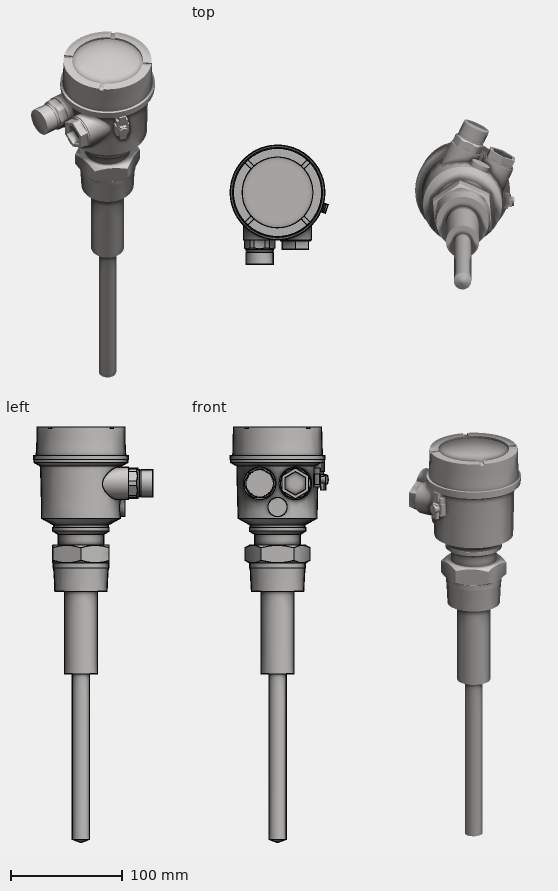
import cadquery as cq
import math

TOTAL_HEIGHT = 372.3

ROD_RADIUS = 8.0
ROD_TIP_HEIGHT = 3.0
TUBE_RADIUS = 15.0
TUBE_BOTTOM_Z = 151.0
THREAD_BOTTOM_Z = 225.0
THREAD_TOP_Z = 245.7
THREAD_BOTTOM_RADIUS = 23.5
THREAD_TOP_RADIUS = 24.5
THREAD_COLLAR_RADIUS = 25.0

HEX_BOTTOM_Z = 250.0
HEX_TOP_Z = 266.5
HEX_ACROSS_FLATS = 50.5
HEX_BEVEL_RADIUS = 24.5
HEX_BEVEL_HEIGHT = 2.5
NECK_RADIUS = 20.5

RING_BEVEL_BOTTOM_Z = 276.0
RING_BOTTOM_Z = 279.0
RING_STEP_Z = 282.2
RING_TOP_Z = 284.5
RING_RADIUS = 25.5
RING_UPPER_RADIUS = 24.5
BODY_BOTTOM_Z = 290.5
BODY_TOP_Z = 337.3
BODY_BOTTOM_RADIUS = 35.5
BODY_TOP_RADIUS = 36.5
RIM_BOTTOM_Z = 340.3
RIM_RADIUS = 42.0

LID_BOTTOM_Z = 343.0
LID_RIM_TOP_Z = 346.5
LID_RIM_RADIUS = 42.5
LID_BOTTOM_RADIUS = 40.2
LID_TOP_RADIUS = 39.5
LID_RECESS_RADIUS = 31.5
LID_RECESS_DEPTH = 2.2
LID_SLOT_WIDTH = 3.7
LID_SLOT_DEPTH = 1.5

ENTRY_X = 16.0
ENTRY_Z = 321.5
ENTRY_BOSS_RADIUS = 14.5
ENTRY_BOSS_FACE = 42.5

GLAND_NUT_ACROSS_FLATS = 25.7
GLAND_NUT_CORNER_RADIUS = 13.8
GLAND_NUT_FACE = 51.0
GLAND_NUT_BEVEL = 1.5
GLAND_RADIUS = 12.3
GLAND_GROOVE_RADIUS = 11.5
GLAND_GROOVE_START = 52.5
GLAND_GROOVE_WIDTH = 1.0
GLAND_FACE = 64.5

PLUG_WASHER_RADIUS = 13.5
PLUG_WASHER_THICKNESS = 1.0
PLUG_ACROSS_FLATS = 24.0
PLUG_RECESS_ACROSS_FLATS = 18.2
PLUG_RECESS_DEPTH = 7.5
PLUG_FACE = 51.0

PAD_RADIUS = 8.5
PAD_Z = 300.5
PAD_FACE = 39.5

CLAMP_ANGLE = -18.5
CLAMP_INNER_RADIUS = 31.5
CLAMP_BASE_RADIUS = 41.7
CLAMP_BASE_WIDTH = 10.5
CLAMP_BASE_BOTTOM_Z = 318.5
CLAMP_BASE_TOP_Z = 335.5
CLAMP_JAW_INNER_RADIUS = 37.0
CLAMP_JAW_WIDTH = 12.5
CLAMP_JAW_BOTTOM_Z = 320.5
CLAMP_JAW_TOP_Z = 330.0
CLAMP_LIP_RADIUS = 43.2
CLAMP_LIP_WIDTH = 6.0
CLAMP_LIP_BOTTOM_Z = 332.5
CLAMP_PLATE_RADIUS = 44.5
CLAMP_PLATE_WIDTH = 6.0
CLAMP_PLATE_BOTTOM_Z = 315.7
CLAMP_PLATE_TOP_Z = 329.5
CLAMP_SCREW_RADIUS = 4.0
CLAMP_SCREW_Z = 325.0
CLAMP_SCREW_END_RADIUS = 46.5


def across_corners(across_flats):
    return across_flats / math.cos(math.pi / 6)


def revolved(profile):
    """Turn an (r, z) profile about Z, closing it along the axis."""
    return cq.Workplane("XZ").polyline(profile).close().revolve(360, (0, 0), (0, 1))


def facing_front(x, z, start, end):
    """Workplane at depth `start`, and the extrusion length that reaches depth `end` toward -Y."""
    plane = cq.Workplane("XZ", origin=(x, -start, z))
    return plane, end - start


def front_cylinder(x, z, radius, start, end):
    plane, length = facing_front(x, z, start, end)
    return plane.circle(radius).extrude(length)


def front_hexagon(x, z, across_flats, start, end, turn=0):
    """Hexagonal prism along -Y; its corners point along X unless turned."""
    plane, length = facing_front(x, z, start, end)
    prism = plane.polygon(6, across_corners(across_flats)).extrude(length)
    return prism.rotate((x, 0, z), (x, 1, z), turn)


def make_turned_body():
    return revolved([
        (0, 0),
        (ROD_RADIUS, ROD_TIP_HEIGHT),
        (ROD_RADIUS, TUBE_BOTTOM_Z),
        (TUBE_RADIUS, TUBE_BOTTOM_Z),
        (TUBE_RADIUS, THREAD_BOTTOM_Z),
        (THREAD_BOTTOM_RADIUS, THREAD_BOTTOM_Z),
        (THREAD_TOP_RADIUS, THREAD_TOP_Z),
        (THREAD_COLLAR_RADIUS, THREAD_TOP_Z),
        (THREAD_COLLAR_RADIUS, HEX_BOTTOM_Z),
        (NECK_RADIUS, HEX_BOTTOM_Z),
        (NECK_RADIUS, RING_BEVEL_BOTTOM_Z),
        (RING_RADIUS, RING_BOTTOM_Z),
        (RING_RADIUS, RING_STEP_Z),
        (RING_UPPER_RADIUS, RING_STEP_Z),
        (RING_UPPER_RADIUS, RING_TOP_Z),
        (BODY_BOTTOM_RADIUS, BODY_BOTTOM_Z),
        (BODY_TOP_RADIUS, BODY_TOP_Z),
        (RIM_RADIUS, RIM_BOTTOM_Z),
        (RIM_RADIUS, LID_BOTTOM_Z),
        (LID_RIM_RADIUS, LID_BOTTOM_Z),
        (LID_RIM_RADIUS, LID_RIM_TOP_Z),
        (LID_BOTTOM_RADIUS, LID_RIM_TOP_Z),
        (LID_TOP_RADIUS, TOTAL_HEIGHT),
        (0, TOTAL_HEIGHT),
    ])


def make_main_hexagon():
    """Hexagon with corners along X, its corners bevelled at both ends."""
    corner_diameter = across_corners(HEX_ACROSS_FLATS)
    corner_radius = corner_diameter / 2
    prism = (
        cq.Workplane("XY", origin=(0, 0, HEX_BOTTOM_Z))
        .polygon(6, corner_diameter)
        .extrude(HEX_TOP_Z - HEX_BOTTOM_Z)
    )
    bevel_limit = revolved([
        (0, HEX_BOTTOM_Z),
        (HEX_BEVEL_RADIUS, HEX_BOTTOM_Z),
        (corner_radius, HEX_BOTTOM_Z + HEX_BEVEL_HEIGHT),
        (corner_radius, HEX_TOP_Z - HEX_BEVEL_HEIGHT),
        (HEX_BEVEL_RADIUS, HEX_TOP_Z),
        (0, HEX_TOP_Z),
    ])
    return prism.intersect(bevel_limit)


def cut_lid_top(body):
    """Round recess in the lid and four slots through its border on the diagonals."""
    recess = (
        cq.Workplane("XY", origin=(0, 0, TOTAL_HEIGHT - LID_RECESS_DEPTH))
        .circle(LID_RECESS_RADIUS)
        .extrude(LID_RECESS_DEPTH)
    )
    body = body.cut(recess)
    for angle in (45, 135):
        slot = (
            cq.Workplane("XY", origin=(0, 0, TOTAL_HEIGHT - LID_SLOT_DEPTH))
            .rect(2 * LID_RIM_RADIUS, LID_SLOT_WIDTH)
            .extrude(LID_SLOT_DEPTH)
            .rotate((0, 0, 0), (0, 0, 1), angle)
        )
        body = body.cut(slot)
    return body


def make_gland():
    x = -ENTRY_X
    nut_limit = (
        front_cylinder(x, ENTRY_Z, GLAND_NUT_CORNER_RADIUS, ENTRY_BOSS_FACE, GLAND_NUT_FACE)
        .faces("<Y")
        .chamfer(GLAND_NUT_BEVEL)
    )
    nut = front_hexagon(x, ENTRY_Z, GLAND_NUT_ACROSS_FLATS, ENTRY_BOSS_FACE, GLAND_NUT_FACE)
    groove_end = GLAND_GROOVE_START + GLAND_GROOVE_WIDTH
    neck = front_cylinder(x, ENTRY_Z, GLAND_RADIUS, GLAND_NUT_FACE, GLAND_GROOVE_START)
    groove = front_cylinder(x, ENTRY_Z, GLAND_GROOVE_RADIUS, GLAND_GROOVE_START, groove_end)
    cap = front_cylinder(x, ENTRY_Z, GLAND_RADIUS, groove_end, GLAND_FACE)
    return nut.intersect(nut_limit).union(neck).union(groove).union(cap)


def make_plug():
    """Washer and hexagon head with a hexagonal recess, corners up and down."""
    washer_face = ENTRY_BOSS_FACE + PLUG_WASHER_THICKNESS
    washer = front_cylinder(ENTRY_X, ENTRY_Z, PLUG_WASHER_RADIUS, ENTRY_BOSS_FACE, washer_face)
    head = front_hexagon(ENTRY_X, ENTRY_Z, PLUG_ACROSS_FLATS, washer_face, PLUG_FACE, turn=30)
    recess_floor = PLUG_FACE - PLUG_RECESS_DEPTH
    recess = front_hexagon(
        ENTRY_X, ENTRY_Z, PLUG_RECESS_ACROSS_FLATS, recess_floor, PLUG_FACE, turn=30
    )
    return washer.union(head).cut(recess)


def clamp_block(inner, outer, width, bottom, top):
    """Box along +X between two radii, centred on Y = 0."""
    return cq.Workplane("XY", origin=(inner, 0, bottom)).box(
        outer - inner, width, top - bottom, centered=(False, True, False)
    )


def make_clamp():
    """Earthing clamp built along +X, then turned to its place around the housing."""
    base = clamp_block(
        CLAMP_INNER_RADIUS,
        CLAMP_BASE_RADIUS,
        CLAMP_BASE_WIDTH,
        CLAMP_BASE_BOTTOM_Z,
        CLAMP_BASE_TOP_Z,
    )
    jaw = clamp_block(
        CLAMP_JAW_INNER_RADIUS,
        CLAMP_BASE_RADIUS,
        CLAMP_JAW_WIDTH,
        CLAMP_JAW_BOTTOM_Z,
        CLAMP_JAW_TOP_Z,
    )
    lip = clamp_block(
        CLAMP_INNER_RADIUS, CLAMP_LIP_RADIUS, CLAMP_LIP_WIDTH, CLAMP_LIP_BOTTOM_Z, RIM_BOTTOM_Z
    )
    plate = clamp_block(
        CLAMP_BASE_RADIUS,
        CLAMP_PLATE_RADIUS,
        CLAMP_PLATE_WIDTH,
        CLAMP_PLATE_BOTTOM_Z,
        CLAMP_PLATE_TOP_Z,
    )
    screw = (
        cq.Workplane("YZ", origin=(CLAMP_INNER_RADIUS, 0, CLAMP_SCREW_Z))
        .circle(CLAMP_SCREW_RADIUS)
        .extrude(CLAMP_SCREW_END_RADIUS - CLAMP_INNER_RADIUS)
    )
    clamp = base.union(jaw).union(lip).union(plate).union(screw)
    return clamp.rotate((0, 0, 0), (0, 0, 1), CLAMP_ANGLE)


result = cut_lid_top(make_turned_body()).union(make_main_hexagon())
for entry_x in (-ENTRY_X, ENTRY_X):
    result = result.union(front_cylinder(entry_x, ENTRY_Z, ENTRY_BOSS_RADIUS, 0, ENTRY_BOSS_FACE))
result = result.union(front_cylinder(0, PAD_Z, PAD_RADIUS, 0, PAD_FACE))
result = result.union(make_gland()).union(make_plug()).union(make_clamp())